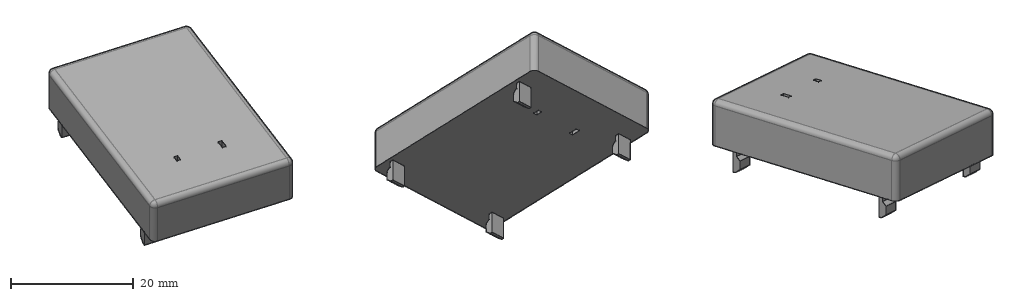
import cadquery as cq

length = 39.02
width = 26.0
total_height = 12.1
leg_drop = 3.98
body_height = total_height - leg_drop
edge_radius = 0.98

leg_width = 2.58
leg_side_inset = 0.65
leg_back_inset = 4.18
leg_spacing = 30.6
stem_thickness = 0.75
hook_depth = 1.5
tip_thickness = 0.45
hook_start_drop = 1.0
hook_full_drop = 1.65
tip_taper_drop = 3.15

slot_width = 0.7
slot_x = 10.7
slot_offset_y = 4.1
slots = [(1.65, slot_offset_y), (1.15, -slot_offset_y)]


def make_body():
    block = cq.Workplane("XY").box(length, width, body_height, centered=(True, True, False))
    return block.edges("|Z or >Z").fillet(edge_radius)


def make_leg(back_x, centre_y):
    """Hooked leg under the body, with its hook pointing toward -X."""
    profile = [
        (back_x, 0),
        (back_x, -leg_drop),
        (back_x - tip_thickness, -leg_drop),
        (back_x - hook_depth, -tip_taper_drop),
        (back_x - hook_depth, -hook_full_drop),
        (back_x - stem_thickness, -hook_start_drop),
        (back_x - stem_thickness, 0),
    ]
    return (
        cq.Workplane("XZ", origin=(0, centre_y, 0))
        .polyline(profile)
        .close()
        .extrude(leg_width / 2, both=True)
    )


def make_slot(slot_length, centre_y):
    return (
        cq.Workplane("XY")
        .center(slot_x, centre_y)
        .rect(slot_length, slot_width)
        .extrude(body_height)
    )


result = make_body()

first_back_x = -length / 2 + leg_back_inset
leg_y = width / 2 - leg_side_inset - leg_width / 2
for back_x in (first_back_x, first_back_x + leg_spacing):
    for centre_y in (-leg_y, leg_y):
        result = result.union(make_leg(back_x, centre_y))

for slot_length, centre_y in slots:
    result = result.cut(make_slot(slot_length, centre_y))